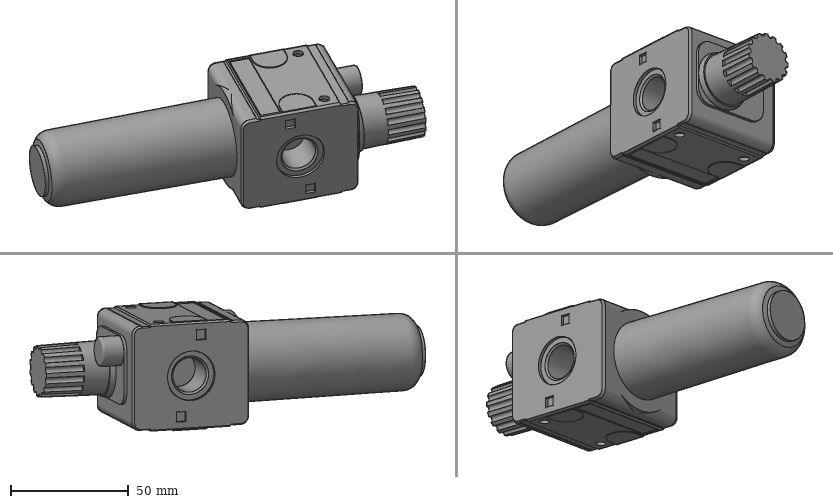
import cadquery as cq
import math


overall_length = 168.0
overall_width = 47.9
overall_height = 47.0
knob_end_y = 58.1
bowl_end_y = knob_end_y - overall_length

block_length = 52.5
bar_height = 45.2
panel_height = 46.2
groove_height = 44.7
block_corner_radius = 3.7
bevel_width = 1.3
bevel_drop = 0.7
shoulder_radius = 22.5

panel_top_y = 17.8
panel_bottom_y = -17.5
panel_flank = 0.5
upper_groove_y = 22.0
lower_groove_y = -19.2

label_width = 43.2
label_top_y = -8.2
label_bottom_y = -17.0
label_depth = 0.5
mount_hole_diameter = 4.4
mount_hole_core_diameter = 6.4
mount_hole_mouth_depth = 1.7
mount_hole_x = 18.0
mount_hole_y = 12.6
pad_radius = 7.5
pad_reach_x = 11.0

port_diameter = 15.0
port_mouth_diameter = 16.6
port_depth = 16.8
port_seat_diameter = 21.3
port_seat_depth = 1.5
mark_size = 4.4
mark_depth = 1.5
mark_y = 4.5
mark_z = 17.5

knob_x = 7.0
plate_thickness = 1.3
plate_margin = 0.2
plate_right_x = 20.0
plate_bottom_z = -13.1
collar_end_y = 30.0
collar_base_radius = 13.0
collar_end_radius = 12.3
knob_base_diameter = 23.2
knob_end_diameter = 22.0
flute_count = 15
flute_radius = 1.3
flute_root_radius = 9.7
flute_start_y = 41.2
plug_diameter = 12.8
plug_x = -9.5
plug_z = 10.0
plug_end_y = 36.8
plug_edge_radius = 1.0

bowl_top_diameter = 34.3
bowl_bottom_diameter = 33.1
bowl_bend_y = -102.1
bowl_rim_y = -107.7
bowl_rim_diameter = 26.9
bowl_foot_diameter = 22.0
bowl_foot_y = -108.2

block_top_y = block_length / 2
block_bottom_y = -block_length / 2
face_x = overall_width / 2
core_x = face_x - bevel_width
bevel_angle = math.degrees(math.atan2(bevel_drop, bevel_width))
plate_end_y = block_top_y + plate_thickness
plate_corner_radius = plug_diameter / 2 + plate_margin
plate_left_x = plug_x - plate_corner_radius
plate_top_z = plug_z + plate_corner_radius


def rod(x, z, start_y, end_y, radius):
    """Cylinder along Y."""
    return cq.Workplane(cq.Solid.makeCylinder(
        radius, end_y - start_y, cq.Vector(x, start_y, z), cq.Vector(0, 1, 0)))


def cone(x, start_y, end_y, start_radius, end_radius):
    """Frustum along Y, centred on Z = 0."""
    return cq.Workplane(cq.Solid.makeCone(
        start_radius, end_radius, end_y - start_y, cq.Vector(x, start_y, 0), cq.Vector(0, 1, 0)))


def span_box(x_range, y_range, z_range):
    """Box between the given limits."""
    size = [limits[1] - limits[0] for limits in (x_range, y_range, z_range)]
    corner = (x_range[0], y_range[0], z_range[0])
    return cq.Workplane().box(*size, centered=False).translate(corner)


def both_sides(shape, plane):
    """The shape together with its mirror image."""
    return shape.union(shape.mirror(plane))


def block():
    """Block with rounded long edges, bevelled toward both port faces."""
    outline = cq.Sketch().rect(block_length, bar_height).vertices().fillet(block_corner_radius)
    core = cq.Workplane("YZ").placeSketch(outline).extrude(core_x)
    end = cq.Workplane("YZ", origin=(core_x, 0, 0)).placeSketch(outline)
    end = end.extrude(bevel_width, taper=bevel_angle)
    half = core.union(end)
    shoulder = rod(0, 0, block_bottom_y, block_bottom_y + block_corner_radius, shoulder_radius)
    return both_sides(half, "YZ").union(shoulder)


def grooves():
    """Shallow grooves across the block on both sides of the panel."""
    floor_z = groove_height / 2
    top_z = overall_height / 2
    across = (-face_x, face_x)
    upper = span_box(across, (panel_top_y, upper_groove_y), (floor_z, top_z))
    lower = span_box(across, (lower_groove_y, panel_bottom_y), (floor_z, top_z))
    return both_sides(upper.union(lower), "XY")


def panels():
    """Raised panels with sloping flanks, bevelled like the block."""
    top_z = panel_height / 2
    foot_z = groove_height / 2
    along = (cq.Workplane("YZ", origin=(-face_x, 0, 0))
             .moveTo(panel_bottom_y - panel_flank, foot_z).lineTo(panel_bottom_y, top_z)
             .lineTo(panel_top_y, top_z).lineTo(panel_top_y + panel_flank, foot_z)
             .lineTo(panel_top_y, 0).lineTo(panel_bottom_y, 0)
             .close().extrude(overall_width))
    across = (cq.Workplane("XZ", origin=(0, block_top_y, 0))
              .moveTo(-face_x, 0).lineTo(-face_x, top_z - bevel_drop).lineTo(-core_x, top_z)
              .lineTo(core_x, top_z).lineTo(face_x, top_z - bevel_drop).lineTo(face_x, 0)
              .close().extrude(block_length))
    return both_sides(along.intersect(across), "XY")


def pads():
    """Flange pads: bars with one round end, standing on the panels next to the port faces."""
    centre_x = pad_reach_x + pad_radius
    pad = (cq.Workplane("XY")
           .moveTo(core_x, -pad_radius).lineTo(centre_x, -pad_radius)
           .threePointArc((pad_reach_x, 0), (centre_x, pad_radius))
           .lineTo(core_x, pad_radius).close().extrude(overall_height / 2))
    return both_sides(both_sides(pad, "YZ"), "XY")


def label_recesses():
    """Shallow rectangular recess in each panel."""
    half_width = label_width / 2
    top_z = panel_height / 2
    recess = span_box((-half_width, half_width), (label_bottom_y, label_top_y),
                      (top_z - label_depth, top_z))
    return both_sides(recess, "XY")


def mount_holes():
    """Through holes with a narrow mouth at each panel and a wider stretch between."""
    core_half_length = panel_height / 2 - mount_hole_mouth_depth
    places = [(-mount_hole_x, mount_hole_y), (mount_hole_x, mount_hole_y)]
    middle = cq.Workplane("XY").pushPoints(places)
    mouths = middle.circle(mount_hole_diameter / 2).extrude(overall_height / 2, both=True)
    cores = middle.circle(mount_hole_core_diameter / 2).extrude(core_half_length, both=True)
    return mouths.union(cores)


def ports():
    """Blind port with a bevelled mouth in a shallow round seat, and two square marks, per face."""
    seat_x = port_seat_depth - face_x
    bore_radius = port_diameter / 2
    mouth_radius = port_mouth_diameter / 2
    bevel = mouth_radius - bore_radius
    port = (cq.Workplane("XY").moveTo(-face_x, 0).lineTo(-face_x, port_seat_diameter / 2)
            .lineTo(seat_x, port_seat_diameter / 2).lineTo(seat_x, mouth_radius)
            .lineTo(seat_x + bevel, bore_radius).lineTo(port_depth - face_x, bore_radius)
            .lineTo(port_depth - face_x, 0).close().revolve(360, (0, 0, 0), (1, 0, 0)))
    marks = (cq.Workplane("YZ", origin=(-face_x, 0, 0))
             .pushPoints([(-mark_y, mark_z), (mark_y, -mark_z)])
             .rect(mark_size, mark_size).extrude(mark_depth))
    return both_sides(port.union(marks), "YZ")


def mounting_plate():
    """Rounded plate that carries the knob and the plug."""
    plate = span_box((plate_left_x, plate_right_x), (block_top_y, plate_end_y),
                     (plate_bottom_z, plate_top_z))
    return plate.edges("|Y").fillet(plate_corner_radius)


def plug():
    """Round filler plug next to the knob."""
    body = rod(plug_x, plug_z, block_top_y, plug_end_y, plug_diameter / 2)
    return body.faces(">Y").edges().fillet(plug_edge_radius)


def knob():
    """Slightly tapered knob on a conical collar, with flutes round its end."""
    collar = cone(knob_x, plate_end_y, collar_end_y, collar_base_radius, collar_end_radius)
    grip = cone(knob_x, collar_end_y, knob_end_y, knob_base_diameter / 2, knob_end_diameter / 2)
    flute_centre = flute_root_radius + flute_radius
    for index in range(flute_count):
        angle = 2 * math.pi * index / flute_count
        flute_x = knob_x + flute_centre * math.cos(angle)
        flute_z = flute_centre * math.sin(angle)
        grip = grip.cut(rod(flute_x, flute_z, flute_start_y, knob_end_y, flute_radius))
    return collar.union(grip)


def make_housing():
    body = block().cut(grooves()).union(panels()).union(pads())
    body = body.cut(label_recesses()).cut(mount_holes()).cut(ports())
    return body.union(mounting_plate()).union(plug()).union(knob())


def make_bowl():
    """Slightly tapered bowl with a rounded lower edge and a small round foot."""
    top_radius = bowl_top_diameter / 2
    bottom_radius = bowl_bottom_diameter / 2
    rim_radius = bowl_rim_diameter / 2
    foot_radius = bowl_foot_diameter / 2
    return (cq.Workplane("XY").moveTo(0, block_bottom_y).lineTo(top_radius, block_bottom_y)
            .lineTo(bottom_radius, bowl_bend_y)
            .tangentArcPoint((rim_radius, bowl_rim_y), relative=False)
            .lineTo(foot_radius, bowl_foot_y).lineTo(foot_radius, bowl_end_y)
            .lineTo(0, bowl_end_y).close().revolve(360, (0, 0, 0), (0, 1, 0)))


housing = make_housing()
bowl = make_bowl()
result = cq.Compound.makeCompound([housing.val(), bowl.val()])